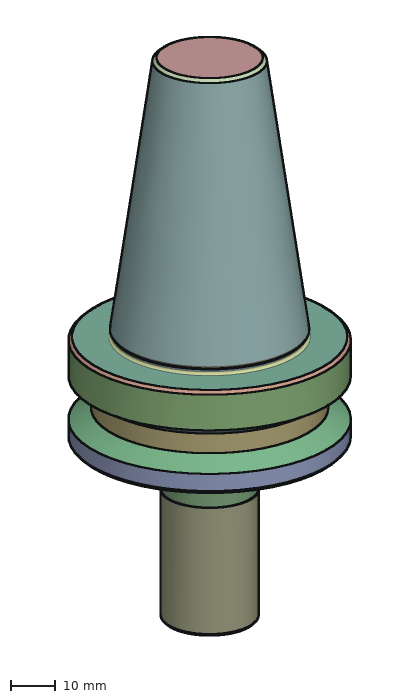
import cadquery as cq
import math

total_height = 135.4
gauge_plane_z = 70.0
flange_top_z = 68.0
flange_bottom_z = 43.0
groove_top_z = 55.6
groove_bottom_z = 50.9
shank_step_z = 31.1

gauge_radius = 44.4 / 2
taper_ratio = 7 / 24
top_chamfer = 0.8
relief_radius = 21.8
relief_fillet = 0.7
gauge_land = 0.4
relief_chamfer = gauge_radius - relief_radius

flange_radius = 63.0 / 2
groove_radius = 53.0 / 2
groove_wall_angle = 30.0
flange_chamfer = 0.8

shank_radius = 22.0 / 2
neck_radius = 21.8 / 2
neck_fillet = 3.0
end_chamfer = 0.7

top_radius = gauge_radius - (total_height - gauge_plane_z) * taper_ratio / 2
top_edge_radius = top_radius + top_chamfer * taper_ratio / 2
groove_wall_height = (flange_radius - groove_radius) * math.tan(math.radians(groove_wall_angle))
fillet_center_r = neck_radius + neck_fillet
fillet_center_z = flange_bottom_z - neck_fillet
fillet_mid_offset = neck_fillet * math.sqrt(0.5)
relief_center_r = relief_radius + relief_fillet
relief_center_z = flange_top_z + relief_fillet
relief_mid_offset = relief_fillet * math.sqrt(0.5)

profile = (
    cq.Workplane("XZ")
    .moveTo(0, 0)
    .lineTo(shank_radius - end_chamfer, 0)
    .lineTo(shank_radius, end_chamfer)
    .lineTo(shank_radius, shank_step_z)
    .lineTo(neck_radius, shank_step_z + shank_radius - neck_radius)
    .lineTo(neck_radius, fillet_center_z)
    .threePointArc(
        (fillet_center_r - fillet_mid_offset, fillet_center_z + fillet_mid_offset),
        (fillet_center_r, flange_bottom_z),
    )
    .lineTo(flange_radius - flange_chamfer, flange_bottom_z)
    .lineTo(flange_radius, flange_bottom_z + flange_chamfer)
    .lineTo(flange_radius, groove_bottom_z - groove_wall_height)
    .lineTo(groove_radius, groove_bottom_z)
    .lineTo(groove_radius, groove_top_z)
    .lineTo(flange_radius, groove_top_z + groove_wall_height)
    .lineTo(flange_radius, flange_top_z - flange_chamfer)
    .lineTo(flange_radius - flange_chamfer, flange_top_z)
    .lineTo(relief_center_r, flange_top_z)
    .threePointArc(
        (relief_center_r - relief_mid_offset, relief_center_z - relief_mid_offset),
        (relief_radius, relief_center_z),
    )
    .lineTo(relief_radius, gauge_plane_z - gauge_land - relief_chamfer)
    .lineTo(gauge_radius, gauge_plane_z - gauge_land)
    .lineTo(gauge_radius, gauge_plane_z)
    .lineTo(top_edge_radius, total_height - top_chamfer)
    .lineTo(top_radius - top_chamfer, total_height)
    .lineTo(0, total_height)
    .close()
)

result = profile.revolve(360, (0, 0, 0), (0, 1, 0))